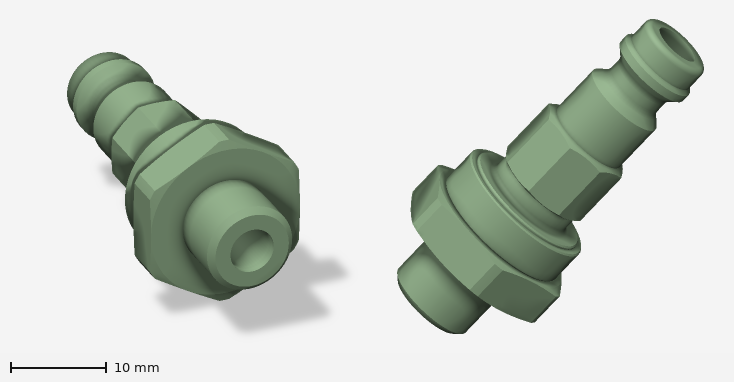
import cadquery as cq
import math

bore_d = 4.95
overall_length = 39.5

nose_d = 8.1
nose_fillet = 0.65
shank_d = 9.0
nose_end_x = 2.65
rim_start_x = nose_end_x + (shank_d - nose_d) / 2
rim_end_x = 4.03
groove_d = 6.65
groove_fillet = 1.0
shank_start_x = 8.37

octagon_flats = 10.1
octagon_start_x = 14.05
octagon_end_x = 21.5
octagon_chamfer_angle = 30.0
neck_d = 9.7
neck_fillet = 0.5
flange_face_x = 23.5
flange_d = 13.85
flange_chamfer = 0.15
flange_end_x = 25.68

collar_d = 15.5
collar_start_x = 23.85
collar_chamfer = 0.15
hexagon_flats = 17.0
hexagon_corner_d = 19.0
hexagon_start_x = 27.95
hexagon_end_x = 32.55
hexagon_chamfer_angle = 17.0
stub_d = neck_d
stub_chamfer = 0.67


def cylinder(diameter, start_x, end_x):
    """Solid cylinder on the X axis."""
    return cq.Workplane("YZ", origin=(start_x, 0, 0)).circle(diameter / 2).extrude(end_x - start_x)


def prism(sides, flats, start_x, end_x, turn):
    """Regular prism on the X axis, turned by an angle in degrees."""
    corner_d = flats / math.cos(math.pi / sides)
    blank = cq.Workplane("YZ", origin=(start_x, 0, 0)).polygon(sides, corner_d).extrude(end_x - start_x)
    return blank.rotate((0, 0, 0), (1, 0, 0), turn)


def chamfered_blank(corner_d, start_d, end_d, start_x, end_x, angle):
    """Round blank with a cone at each end, used to trim the corners of a prism."""
    slope = math.tan(math.radians(angle))
    start_run = (corner_d - start_d) / 2 * slope
    end_run = (corner_d - end_d) / 2 * slope
    profile = (
        cq.Workplane("XY")
        .moveTo(start_x, 0)
        .lineTo(start_x, start_d / 2)
        .lineTo(start_x + start_run, corner_d / 2)
        .lineTo(end_x - end_run, corner_d / 2)
        .lineTo(end_x, end_d / 2)
        .lineTo(end_x, 0)
        .close()
    )
    return profile.revolve(360, (0, 0, 0), (1, 0, 0))


def make_nose_and_shank():
    """Turned front end: rounded nose, rim, filleted 45 degree groove and shank."""
    nose_r = nose_d / 2
    shank_r = shank_d / 2
    groove_r = groove_d / 2
    arc_run = groove_fillet * math.sin(math.radians(45))
    arc_rise = groove_fillet - arc_run
    arc_mid_run = groove_fillet * math.sin(math.radians(22.5))
    arc_mid_rise = groove_fillet * (1 - math.cos(math.radians(22.5)))
    cone_run = shank_r - groove_r - arc_rise
    floor_start_x = rim_end_x + cone_run + arc_run
    floor_end_x = shank_start_x - cone_run - arc_run
    profile = (
        cq.Workplane("XY")
        .moveTo(0, 0)
        .lineTo(0, nose_r - nose_fillet)
        .radiusArc((nose_fillet, nose_r), nose_fillet)
        .lineTo(nose_end_x, nose_r)
        .lineTo(rim_start_x, shank_r)
        .lineTo(rim_end_x, shank_r)
        .lineTo(rim_end_x + cone_run, groove_r + arc_rise)
        .threePointArc((floor_start_x - arc_mid_run, groove_r + arc_mid_rise), (floor_start_x, groove_r))
        .lineTo(floor_end_x, groove_r)
        .threePointArc(
            (floor_end_x + arc_mid_run, groove_r + arc_mid_rise),
            (floor_end_x + arc_run, groove_r + arc_rise),
        )
        .lineTo(shank_start_x, shank_r)
        .lineTo(octagon_start_x, shank_r)
        .lineTo(octagon_start_x, 0)
        .close()
    )
    return profile.revolve(360, (0, 0, 0), (1, 0, 0))


def make_octagon():
    """Wrench section with conical ends that meet the shank and the neck."""
    sides = 8
    corner_d = octagon_flats / math.cos(math.pi / sides)
    blank = chamfered_blank(
        corner_d, shank_d, neck_d, octagon_start_x, octagon_end_x, octagon_chamfer_angle
    )
    return prism(sides, octagon_flats, octagon_start_x, octagon_end_x, 180 / sides).intersect(blank)


def make_neck_and_flange():
    """Neck that flares with a fillet into the chamfered flange."""
    neck_r = neck_d / 2
    flange_r = flange_d / 2
    profile = (
        cq.Workplane("XY")
        .moveTo(octagon_end_x, 0)
        .lineTo(octagon_end_x, neck_r)
        .lineTo(flange_face_x - neck_fillet, neck_r)
        .radiusArc((flange_face_x, neck_r + neck_fillet), -neck_fillet)
        .lineTo(flange_face_x, flange_r - flange_chamfer)
        .lineTo(flange_face_x + flange_chamfer, flange_r)
        .lineTo(flange_end_x, flange_r)
        .lineTo(flange_end_x, 0)
        .close()
    )
    return profile.revolve(360, (0, 0, 0), (1, 0, 0))


def make_plug():
    """Hollow plug whose flange seats in the housing."""
    outside = make_nose_and_shank().union(make_octagon()).union(make_neck_and_flange())
    return outside.cut(cylinder(bore_d, 0, flange_end_x))


def make_hexagon():
    """Wrench hexagon with turned-down corners and a shallow chamfer on both faces."""
    blank = chamfered_blank(
        hexagon_corner_d, hexagon_flats, hexagon_flats, hexagon_start_x, hexagon_end_x, hexagon_chamfer_angle
    )
    return prism(6, hexagon_flats, hexagon_start_x, hexagon_end_x, 30).intersect(blank)


def make_housing():
    """Collar, hexagon and stub with a recess for the plug flange and a through bore."""
    collar = cylinder(collar_d, collar_start_x, hexagon_start_x).edges().chamfer(collar_chamfer)
    stub = cylinder(stub_d, hexagon_end_x, overall_length).faces(">X").chamfer(stub_chamfer)
    outside = collar.union(make_hexagon()).union(stub)
    recess = cylinder(flange_d, collar_start_x, flange_end_x)
    return outside.cut(recess).cut(cylinder(bore_d, flange_end_x, overall_length))


plug = make_plug()
housing = make_housing()
result = cq.Compound.makeCompound([plug.val(), housing.val()])